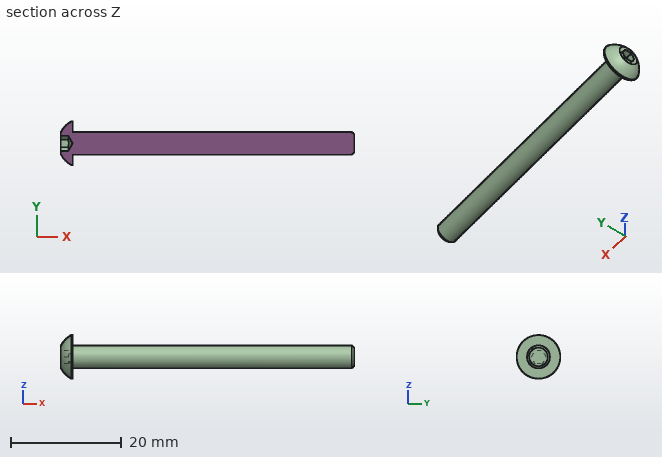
import cadquery as cq
import math

INCH = 25.4

head_diameter = 0.312 * INCH
head_height = 0.087 * INCH
head_face_diameter = 4.0
rim_width = 0.32

shank_diameter = 0.164 * INCH
shank_length = 2.0 * INCH
tip_diameter = 3.35
tip_chamfer_length = 0.45

socket_across_flats = 3 / 32 * INCH
socket_depth = 0.052 * INCH
socket_cone_angle = 120.0

socket_across_corners = socket_across_flats / math.cos(math.pi / 6)
overall_length = head_height + shank_length


def dome_middle_point():
    """Midpoint of the domed arc, which is part of a sphere centred on the X axis."""
    dome_length = head_height - rim_width
    face_radius = head_face_diameter / 2
    rim_radius = head_diameter / 2
    center_x = (dome_length**2 + rim_radius**2 - face_radius**2) / (2 * dome_length)
    dome_radius = math.hypot(center_x, face_radius)
    face_angle = math.atan2(face_radius, center_x)
    rim_angle = math.atan2(rim_radius, center_x - dome_length)
    middle_angle = (face_angle + rim_angle) / 2
    return (
        center_x - dome_radius * math.cos(middle_angle),
        dome_radius * math.sin(middle_angle),
    )


def screw_body():
    """Head and shank, turned about the X axis."""
    profile = (
        cq.Workplane("XY")
        .lineTo(0, head_face_diameter / 2)
        .threePointArc(dome_middle_point(), (head_height - rim_width, head_diameter / 2))
        .lineTo(head_height, head_diameter / 2)
        .lineTo(head_height, shank_diameter / 2)
        .lineTo(overall_length - tip_chamfer_length, shank_diameter / 2)
        .lineTo(overall_length, tip_diameter / 2)
        .lineTo(overall_length, 0)
        .close()
    )
    return profile.revolve(360, (0, 0, 0), (1, 0, 0))


def hex_socket():
    """Hexagonal recess with corners on the Y axis and a conical floor."""
    cone_radius = socket_across_corners / 2
    cone_length = cone_radius / math.tan(math.radians(socket_cone_angle / 2))
    full_depth = socket_depth + cone_length
    prism = cq.Workplane("YZ").polygon(6, socket_across_corners).extrude(full_depth)
    pointed_bore = (
        cq.Workplane("XY")
        .lineTo(0, cone_radius)
        .lineTo(socket_depth, cone_radius)
        .lineTo(full_depth, 0)
        .close()
        .revolve(360, (0, 0, 0), (1, 0, 0))
    )
    return prism.intersect(pointed_bore)


result = screw_body().cut(hex_socket())